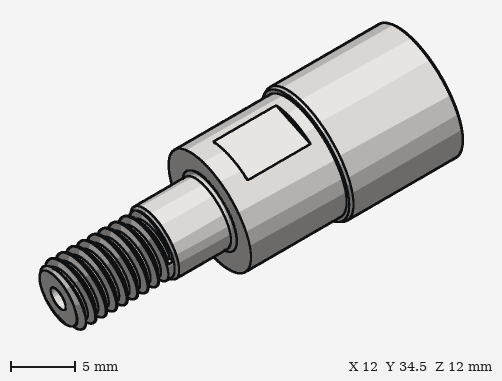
import cadquery as cq
import math


total_length = 34.5
head_start = 23.65
shoulder_y = 14.5
thread_length = 9.0

head_radius = 6.0
body_radius = 5.5
collar_radius = 3.25
thread_radius = 3.0

head_rear_chamfer = 0.1
head_front_chamfer_length = 0.3
head_front_chamfer_depth = 0.15
collar_chamfer = 0.25
tip_chamfer = 0.5

undercut_length = 0.3
undercut_outer_radius = 3.6
undercut_arc_sagitta = 0.3

flat_distance = 5.0
flat_start = 16.5
flat_length = 6.0

centre_hole_radius = 1.0
centre_hole_depth = 3.0
centre_hole_cone_angle = 118.0

thread_pitch = 1.0
thread_profile_height = math.sqrt(3) / 2 * thread_pitch
thread_depth = 5 / 8 * thread_profile_height
groove_root_width = thread_pitch / 4
thread_flank_angle = 30.0
thread_flank_slope = math.tan(math.radians(thread_flank_angle))
groove_start_y = -1.05
groove_turns = 9.95
groove_overcut = 0.1


def make_turned_blank():
    """Collar, undercut, body and head as one revolved half profile."""
    undercut_start = shoulder_y - undercut_length
    profile = (
        cq.Workplane("XY")
        .moveTo(0, thread_length)
        .lineTo(collar_radius - collar_chamfer, thread_length)
        .lineTo(collar_radius, thread_length + collar_chamfer)
        .lineTo(collar_radius, undercut_start)
        .sagittaArc((undercut_outer_radius, shoulder_y), undercut_arc_sagitta)
        .lineTo(body_radius, shoulder_y)
        .lineTo(body_radius, head_start)
        .lineTo(head_radius - head_front_chamfer_depth, head_start)
        .lineTo(head_radius, head_start + head_front_chamfer_length)
        .lineTo(head_radius, total_length - head_rear_chamfer)
        .lineTo(head_radius - head_rear_chamfer, total_length)
        .lineTo(0, total_length)
        .close()
    )
    return profile.revolve(360, (0, 0), (0, 1))


def make_thread_groove():
    """Trapezoidal groove swept along a helix that starts on the +X side."""
    root_radius = thread_radius - thread_depth
    outer_radius = thread_radius + groove_overcut
    root_half = groove_root_width / 2
    outer_half = root_half + (outer_radius - root_radius) * thread_flank_slope
    path = cq.Wire.makeHelix(thread_pitch, groove_turns * thread_pitch, root_radius)
    groove = (
        cq.Workplane("XZ")
        .moveTo(root_radius, -root_half)
        .lineTo(outer_radius, -outer_half)
        .lineTo(outer_radius, outer_half)
        .lineTo(root_radius, root_half)
        .close()
        .sweep(cq.Workplane(path), isFrenet=True)
    )
    return groove.rotate((0, 0, 0), (1, 0, 0), -90).translate((0, groove_start_y, 0))


def make_threaded_stud():
    """Chamfered stud from the tip to the collar, with its helical thread."""
    stud = (
        cq.Workplane("XY")
        .lineTo(thread_radius - tip_chamfer, 0)
        .lineTo(thread_radius, tip_chamfer)
        .lineTo(thread_radius, thread_length)
        .lineTo(0, thread_length)
        .close()
        .revolve(360, (0, 0), (0, 1))
    )
    return stud.cut(make_thread_groove())


def make_wrench_flat(side):
    """Cutter for one wrench flat; side is +1 for the top and -1 for the bottom."""
    cut_depth = head_radius - flat_distance
    flat_centre = (0, flat_start + flat_length / 2, side * (flat_distance + cut_depth / 2))
    return cq.Workplane("XY").box(2 * head_radius, flat_length, cut_depth).translate(flat_centre)


def make_centre_hole():
    """Drilled centre hole in the tip face, with a conical bottom."""
    cone_depth = centre_hole_radius / math.tan(math.radians(centre_hole_cone_angle / 2))
    return (
        cq.Workplane("XY")
        .lineTo(centre_hole_radius, 0)
        .lineTo(centre_hole_radius, centre_hole_depth)
        .lineTo(0, centre_hole_depth + cone_depth)
        .close()
        .revolve(360, (0, 0), (0, 1))
    )


result = make_turned_blank().union(make_threaded_stud())
for flat_side in (1, -1):
    result = result.cut(make_wrench_flat(flat_side))
result = result.cut(make_centre_hole())